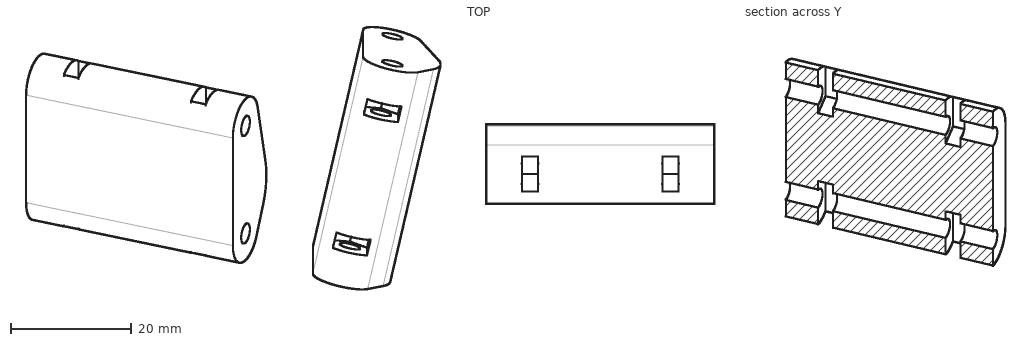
import cadquery as cq
import math

length = 38.0
depth = 13.25
height = 30.0

bore_spacing = 20.0
bore_diameter = 3.42
end_radius = (height - bore_spacing) / 2
bore_z = bore_spacing / 2

bulge_radius = 10.0
bulge_center_y = depth - end_radius - bulge_radius
bulge_center_z = -2.8

nut_across_flats = 5.8
nut_pocket_width = 2.7
nut_pocket_inset = 5.95
nut_pocket_x = length / 2 - nut_pocket_inset - nut_pocket_width / 2


def tangent_angle(side):
    """Angle from +Y of the normal to the flat joining the bulge to an end (+1 top, -1 bottom)."""
    rise = bore_z - side * bulge_center_z
    center_distance = math.hypot(bulge_center_y, rise)
    direction = math.atan2(rise, -bulge_center_y)
    return side * (direction - math.acos((bulge_radius - end_radius) / center_distance))


def point_on_circle(center_y, center_z, radius, angle):
    return (center_y + radius * math.cos(angle), center_z + radius * math.sin(angle))


def make_body():
    top_angle = tangent_angle(1)
    bottom_angle = tangent_angle(-1)
    bulge_top = point_on_circle(bulge_center_y, bulge_center_z, bulge_radius, top_angle)
    bulge_back = point_on_circle(bulge_center_y, bulge_center_z, bulge_radius, 0)
    bulge_bottom = point_on_circle(bulge_center_y, bulge_center_z, bulge_radius, bottom_angle)
    top_end_back = point_on_circle(0, bore_z, end_radius, top_angle)
    bottom_end_back = point_on_circle(0, -bore_z, end_radius, bottom_angle)
    return (
        cq.Workplane("YZ")
        .workplane(offset=-length / 2)
        .moveTo(-end_radius, -bore_z)
        .lineTo(-end_radius, bore_z)
        .threePointArc((0, height / 2), top_end_back)
        .lineTo(*bulge_top)
        .threePointArc(bulge_back, bulge_bottom)
        .lineTo(*bottom_end_back)
        .threePointArc((0, -height / 2), (-end_radius, -bore_z))
        .close()
        .extrude(length)
    )


def make_bores():
    return (
        cq.Workplane("YZ")
        .workplane(offset=-length / 2)
        .pushPoints([(0, bore_z), (0, -bore_z)])
        .circle(bore_diameter / 2)
        .extrude(length)
    )


def make_nut_pocket(x, side):
    """Hexagonal seat with its point toward mid-height and walls running out of one end."""
    half_flats = nut_across_flats / 2
    corner_drop = half_flats * math.tan(math.radians(30))
    point_drop = 2 * corner_drop
    outline = [
        (-half_flats, side * height / 2),
        (-half_flats, side * (bore_z - corner_drop)),
        (0, side * (bore_z - point_drop)),
        (half_flats, side * (bore_z - corner_drop)),
        (half_flats, side * height / 2),
    ]
    return (
        cq.Workplane("YZ")
        .workplane(offset=x - nut_pocket_width / 2)
        .polyline(outline)
        .close()
        .extrude(nut_pocket_width)
    )


result = make_body().cut(make_bores())
for pocket_x in (-nut_pocket_x, nut_pocket_x):
    for end_side in (1, -1):
        result = result.cut(make_nut_pocket(pocket_x, end_side))